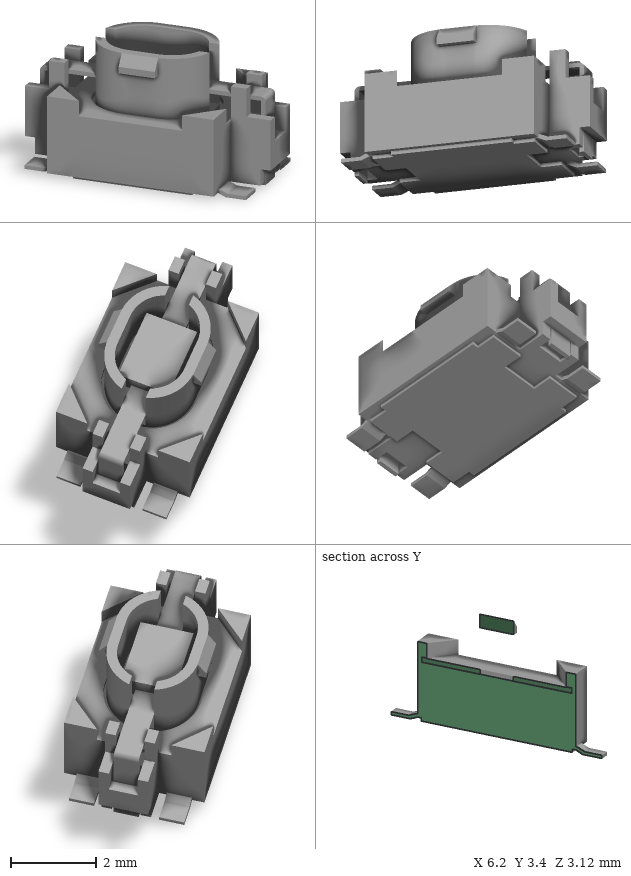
import cadquery as cq


HOUSING_BOTTOM = 0.09
FILM_BOTTOM = 1.51
FILM_THICKNESS = 0.12
FILM_TOP = FILM_BOTTOM + FILM_THICKNESS
POST_TOP = 2.015
PLUNGER_TOP = 3.12

BODY_LENGTH = 4.205
BODY_WIDTH = 3.4
POST_LEG = 0.8
FILM_CORNER_CUT = 0.66
STANDOFF_LENGTH = 3.0
STANDOFF_WIDTH = 3.125

ARM_REACH = 3.1
ARM_WIDTH = 1.2
ARM_SLOT_WIDTH = 0.695
PRONG_TOP = 2.47
PRONG_REACH = 2.49
ARM_TOP = 1.76
ARM_BRIDGE_TOP = 1.16
ARM_STEP_BOTTOM = 0.5

LEAD_TIP = 2.795
LEAD_THICKNESS = 0.09
LEAD_RISE = 0.08
LEAD_RAMP_OUTER = 2.33
LEAD_RAMP_INNER = 2.14
LEAD_UNDERSIDE_SHIFT = 0.045
LEAD_INNER_Y = 0.79
LEAD_OUTER_Y = 1.395
PAD_OUTER_X = 2.01
PAD_INNER_Y = 0.495

PLUNGER_RADIUS = 1.1
PLUNGER_FLAT = 0.77
PLUNGER_WALL = 0.25
SIDE_CLEARANCE = 0.06
END_CLEARANCE = 0.09
HOOK_WIDTH = 0.92
HOOK_REACH = 0.205
HOOK_SLOPE_HEIGHT = 0.27
HOOK_HEIGHT = 0.435

STRAP_WIDTH = 0.61
STRAP_REACH = 2.845
STRAP_TOP = 2.2
STRAP_THICKNESS = 0.105
STRAP_BEND_RADIUS = 0.12
BLOCK_LENGTH = 1.735
BLOCK_WIDTH = 1.285
BLOCK_TOP = 2.505
BLOCK_BOTTOM = 2.015

SIDES = (-1, 1)


def box(x_range, y_range, z_range):
    """Box between two X, two Y and two Z values, each pair in either order."""
    x_low, x_high = sorted(x_range)
    y_low, y_high = sorted(y_range)
    z_low, z_high = sorted(z_range)
    size = (x_high - x_low, y_high - y_low, z_high - z_low)
    return cq.Workplane("XY").box(*size, centered=False).translate((x_low, y_low, z_low))


def centred_box(length, width, z_range):
    """Box centred on the Z axis."""
    return box((-length / 2, length / 2), (-width / 2, width / 2), z_range)


def stadium(flat, radius, z_range):
    """Upright prism with two half-round ends joined by a straight part along X."""
    bottom, top = z_range
    length = flat + 2 * radius
    return cq.Workplane("XY").workplane(offset=bottom).slot2D(length, 2 * radius).extrude(top - bottom)


def octagon(corner_cut, z_range):
    """Body-sized plate with its four corners cut at 45 degrees."""
    plate = centred_box(BODY_LENGTH, BODY_WIDTH, z_range)
    return plate.edges("|Z").chamfer(corner_cut)


def side_plate(points, y_range):
    """Prism along Y from an outline in X and Z."""
    y_low, y_high = sorted(y_range)
    outline = cq.Workplane("XZ", origin=(0, y_high, 0)).polyline(points).close()
    return outline.extrude(y_high - y_low)


def make_arm(side):
    """Slotted end arm with two prongs, closed outside by a bridge and inside by a web."""
    body_end = BODY_LENGTH / 2
    profile = [
        (side * body_end, HOUSING_BOTTOM),
        (side * STRAP_REACH, HOUSING_BOTTOM),
        (side * STRAP_REACH, ARM_STEP_BOTTOM),
        (side * ARM_REACH, ARM_STEP_BOTTOM),
        (side * ARM_REACH, ARM_TOP),
        (side * PRONG_REACH, ARM_TOP),
        (side * PRONG_REACH, PRONG_TOP),
        (side * body_end, PRONG_TOP),
    ]
    half_width = ARM_WIDTH / 2
    half_slot = ARM_SLOT_WIDTH / 2
    arm = side_plate(profile, (-half_width, half_width))
    slot_y = (-half_slot, half_slot)
    over_web = box((side * body_end, side * PRONG_REACH), slot_y, (FILM_BOTTOM, PRONG_TOP))
    leg_slot = box((side * PRONG_REACH, side * STRAP_REACH), slot_y, (HOUSING_BOTTOM, PRONG_TOP))
    over_bridge = box((side * STRAP_REACH, side * ARM_REACH), slot_y, (ARM_BRIDGE_TOP, PRONG_TOP))
    return arm.cut(over_web).cut(leg_slot).cut(over_bridge)


def make_lead(x_side, y_side):
    """Bent lead leaving the end of the body, with its pad under the body."""
    raised_top = LEAD_THICKNESS + LEAD_RISE
    inner_end = STANDOFF_LENGTH / 2
    profile = [
        (x_side * LEAD_TIP, 0),
        (x_side * LEAD_TIP, LEAD_THICKNESS),
        (x_side * LEAD_RAMP_OUTER, LEAD_THICKNESS),
        (x_side * LEAD_RAMP_INNER, raised_top),
        (x_side * inner_end, raised_top),
        (x_side * inner_end, LEAD_RISE),
        (x_side * (LEAD_RAMP_INNER - LEAD_UNDERSIDE_SHIFT), LEAD_RISE),
        (x_side * (LEAD_RAMP_OUTER - LEAD_UNDERSIDE_SHIFT), 0),
    ]
    outer_y = y_side * LEAD_OUTER_Y
    lead = side_plate(profile, (y_side * LEAD_INNER_Y, outer_y))
    pad = box(
        (x_side * inner_end, x_side * PAD_OUTER_X), (y_side * PAD_INNER_Y, outer_y), (0, HOUSING_BOTTOM)
    )
    return lead.union(pad)


def make_housing():
    """Body with corner posts, film recess, standoff, end arms and leads."""
    housing = centred_box(BODY_LENGTH, BODY_WIDTH, (HOUSING_BOTTOM, POST_TOP))
    housing = housing.cut(octagon(FILM_CORNER_CUT, (FILM_BOTTOM, FILM_TOP)))
    housing = housing.cut(octagon(POST_LEG, (FILM_TOP, POST_TOP)))
    housing = housing.union(centred_box(STANDOFF_LENGTH, STANDOFF_WIDTH, (0, HOUSING_BOTTOM)))
    for x_side in SIDES:
        housing = housing.union(make_arm(x_side))
        for y_side in SIDES:
            housing = housing.union(make_lead(x_side, y_side))
    return housing


def make_film():
    """Octagonal film with an opening around the plunger."""
    layer = (FILM_BOTTOM, FILM_TOP)
    flat = PLUNGER_FLAT + 2 * (END_CLEARANCE - SIDE_CLEARANCE)
    opening = stadium(flat, PLUNGER_RADIUS + SIDE_CLEARANCE, layer)
    return octagon(FILM_CORNER_CUT, layer).cut(opening)


def make_hook(side):
    """Snap hook with a sloped top on the long side of the plunger."""
    root_y = side * (PLUNGER_RADIUS - PLUNGER_WALL / 2)
    face_y = side * PLUNGER_RADIUS
    tip_y = side * (PLUNGER_RADIUS + HOOK_REACH)
    profile = [
        (root_y, PLUNGER_TOP),
        (face_y, PLUNGER_TOP),
        (tip_y, PLUNGER_TOP - HOOK_SLOPE_HEIGHT),
        (tip_y, PLUNGER_TOP - HOOK_HEIGHT),
        (root_y, PLUNGER_TOP - HOOK_HEIGHT),
    ]
    return cq.Workplane("YZ").polyline(profile).close().extrude(HOOK_WIDTH / 2, both=True)


def make_plunger():
    """Rounded cup with a floor level with the film, slotted along X for the strap."""
    plunger = stadium(PLUNGER_FLAT, PLUNGER_RADIUS, (FILM_BOTTOM, PLUNGER_TOP))
    inside = (FILM_TOP, PLUNGER_TOP)
    plunger = plunger.cut(stadium(PLUNGER_FLAT, PLUNGER_RADIUS - PLUNGER_WALL, inside))
    plunger = plunger.cut(centred_box(BODY_LENGTH, STRAP_WIDTH, inside))
    for side in SIDES:
        plunger = plunger.union(make_hook(side))
    return plunger


def make_strap():
    """Bent strap with a leg in each arm slot and a block around its middle."""
    outer = centred_box(2 * STRAP_REACH, STRAP_WIDTH, (0, STRAP_TOP))
    outer = outer.edges("|Y and >Z").fillet(STRAP_BEND_RADIUS)
    inner_length = 2 * (STRAP_REACH - STRAP_THICKNESS)
    inner = centred_box(inner_length, STRAP_WIDTH, (0, STRAP_TOP - STRAP_THICKNESS))
    inner = inner.edges("|Y and >Z").fillet(STRAP_BEND_RADIUS - STRAP_THICKNESS)
    block = centred_box(BLOCK_LENGTH, BLOCK_WIDTH, (BLOCK_BOTTOM, BLOCK_TOP))
    return outer.cut(inner).union(block)


housing = make_housing()
film = make_film()
plunger = make_plunger()
strap = make_strap()

result = cq.Compound.makeCompound([housing.val(), film.val(), plunger.val(), strap.val()])